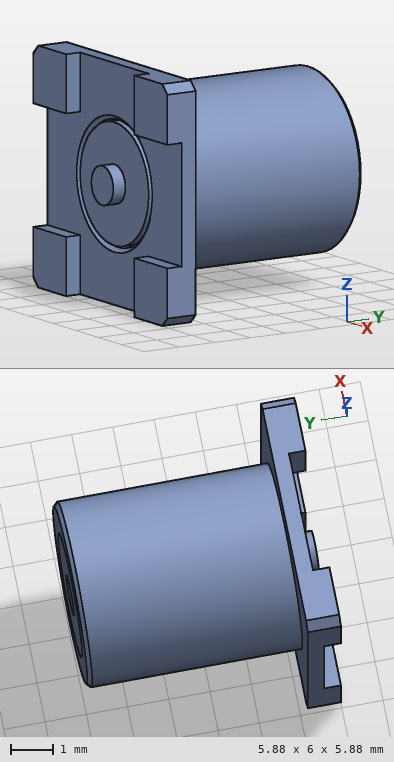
import cadquery as cq

length = 6.0
flange_side = 5.88
flange_thickness = 0.805
corner_chamfer = 0.22

relief_width = 3.0
relief_depth = 0.4

barrel_diameter = 4.5
barrel_chamfer = 0.1

insulator_diameter = 3.0
gap_diameter = 3.1
mouth_diameter = 3.31
mouth_depth = (mouth_diameter - gap_diameter) / 2
gap_floor = flange_thickness

pin_diameter = 0.96
pin_tip_gap = 0.06


def cylinder(diameter, start, end):
    """Cylinder on the Y axis between two Y positions."""
    return cq.Workplane("XZ", origin=(0, start, 0)).circle(diameter / 2).extrude(start - end)


def make_flange():
    """Square flange with chamfered corners and a foot at each corner."""
    flange = cq.Workplane("XY").box(
        flange_side, flange_thickness, flange_side, centered=(True, False, True)
    )
    flange = flange.edges("|Y").chamfer(corner_chamfer)
    for width, height in ((relief_width, flange_side), (flange_side, relief_width)):
        relief = cq.Workplane("XY").box(width, relief_depth, height, centered=(True, False, True))
        flange = flange.cut(relief)
    return flange


def make_front_recess():
    """Recess with a conical mouth at the relieved flange face and a flat floor."""
    profile = [
        (0, relief_depth),
        (mouth_diameter / 2, relief_depth),
        (gap_diameter / 2, relief_depth + mouth_depth),
        (gap_diameter / 2, gap_floor),
        (0, gap_floor),
    ]
    return cq.Workplane("XY").polyline(profile).close().revolve(360, (0, 0), (0, 1))


def make_housing():
    """Flange and barrel in one piece, bored through for the insulator."""
    barrel = cylinder(barrel_diameter, flange_thickness, length)
    barrel = barrel.faces(">Y").chamfer(barrel_chamfer)
    bore = cylinder(insulator_diameter, relief_depth, length)
    return make_flange().union(barrel).cut(bore).cut(make_front_recess())


def make_insulator():
    """Dielectric sleeve, flush with the relieved flange face and the barrel end."""
    pin_hole = cylinder(pin_diameter, relief_depth, length)
    return cylinder(insulator_diameter, relief_depth, length).cut(pin_hole)


def make_pin():
    """Center contact, ending just short of the foot faces."""
    return cylinder(pin_diameter, pin_tip_gap, length)


housing = make_housing()
insulator = make_insulator()
pin = make_pin()

result = cq.Compound.makeCompound([housing.val(), insulator.val(), pin.val()])